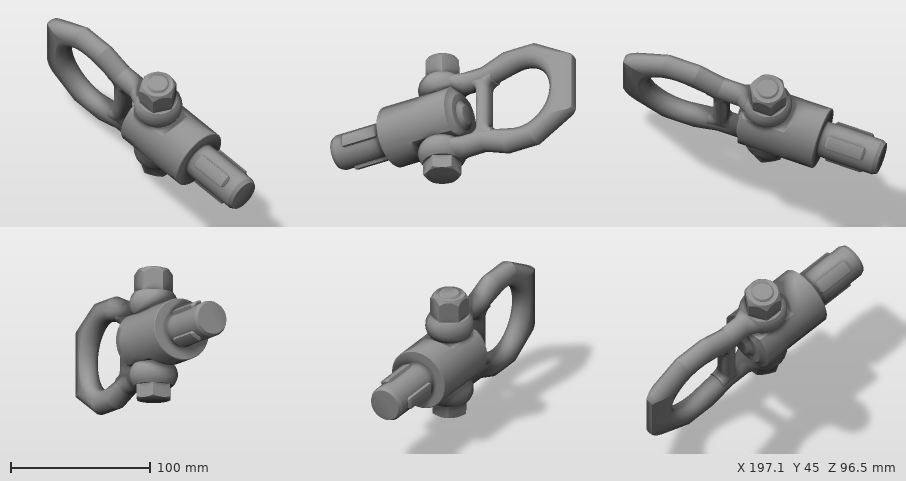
import cadquery as cq
import math


bar_size = 16.0
bow_edge_radius = 7.8
arm_inner_z = 18.0
arm_outer_z = arm_inner_z + bar_size
opening_radius = 24.6
opening_center_x = -66.5
opening_end_x = -36.0
crown_z = 41.0
crown_start_x = -79.0
crown_end_x = -53.5
arm_start_x = -35.0
nose_x = -110.0
nose_half_width = 3.0
nose_overhang = 1.3
nose_corner_radius = 9.0
shoulder_angle = math.radians(30)
taper_end_x = -92.0
arm_end_x = -5.0

crossbar_x = -35.3
crossbar_width = 10.0
crossbar_thickness = 14.0
crossbar_edge_radius = 4.6
crossbar_corner_radius = 4.0
crossbar_foot_z = arm_inner_z + 1.0
crossbar_half_length = 25.0

eye_radius = 17.5
eye_face_radius = 14.2
neck_start_x = -20.5
neck_end_x = -10.0
neck_end_half_width = 13.0
neck_half_height = 7.9

hub_radius = 22.5
hub_face_x = -18.0
hub_nose_end_x = -15.0
hub_nose_bulge = 0.4
hub_face_radius = 16.4
hub_end_x = 42.0
hub_rim_chamfer = 0.5
pilot_base_radius = 11.0
pilot_tip_radius = 7.0
pilot_height = 3.0
flat_end_x = 17.3
flat_ramp_length = 3.7
shaft_radius = 13.0
shaft_end_x = 87.05
shaft_chamfer_length = 3.0
shaft_chamfer_depth = 1.4
shaft_root_chamfer = 0.5
key_count = 3
key_start_x = 47.0
key_end_x = 76.5
key_width = 9.0
key_top_radius = 15.2
key_chamfer = 1.5

bolt_diameter = 16.0
bolt_radius = bolt_diameter / 2
bolt_tip_z = 52.3
bolt_tip_chamfer = 1.2
head_height = 10.2
hex_flats = 24.0
hex_corners = hex_flats / math.cos(math.pi / 6)
head_chamfer_angle = math.radians(30)
nut_height = 17.0
nut_face_radius = 11.1
nut_chamfer_drop = 4.0


def make_bow_plate():
    """Bow outline with its load opening, extruded across Y and rounded along both faces."""
    nose_tip_x = nose_x - nose_overhang
    shoulder_z = crown_z - (crown_start_x - nose_tip_x) * math.tan(shoulder_angle)
    half_outline = [
        (nose_tip_x, shoulder_z),
        (crown_start_x, crown_z),
        (crown_end_x, crown_z),
        (arm_start_x, arm_outer_z),
        (arm_end_x, arm_outer_z),
    ]
    reach_x = opening_end_x - opening_center_x
    reach = math.hypot(reach_x, arm_inner_z)
    tangent_angle = math.atan2(arm_inner_z, reach_x) + math.acos(opening_radius / reach)
    tangent_x = opening_center_x + opening_radius * math.cos(tangent_angle)
    tangent_z = opening_radius * math.sin(tangent_angle)

    plate = (
        cq.Workplane("XZ")
        .polyline(half_outline)
        .lineTo(arm_end_x, arm_inner_z)
        .lineTo(opening_end_x, arm_inner_z)
        .lineTo(tangent_x, tangent_z)
        .threePointArc((opening_center_x - opening_radius, 0), (tangent_x, -tangent_z))
        .lineTo(opening_end_x, -arm_inner_z)
        .lineTo(arm_end_x, -arm_inner_z)
        .polyline([(x, -z) for x, z in reversed(half_outline)], includeCurrent=True)
        .close()
        .extrude(bar_size / 2, both=True)
    )
    plate = plate.edges("|Y and <X").fillet(nose_corner_radius)
    arm_ends = cq.selectors.BoxSelector(
        (arm_end_x - 1, -bar_size, -crown_z), (arm_end_x + 1, bar_size, crown_z)
    )
    rims = plate.faces("<Y or >Y").edges(
        cq.selectors.SubtractSelector(cq.selectors.Selector(), arm_ends)
    )
    return rims.fillet(bow_edge_radius)


def make_nose_envelope():
    """Block whose sides curve in to a narrow flat nose, running straight beyond the taper."""
    return (
        cq.Workplane("XY")
        .moveTo(eye_radius, 0)
        .lineTo(eye_radius, bar_size / 2)
        .lineTo(taper_end_x, bar_size / 2)
        .tangentArcPoint((nose_x, nose_half_width), relative=False)
        .lineTo(nose_x, 0)
        .mirrorX()
        .extrude(2 * crown_z, both=True)
    )


def make_crossbar():
    """Rounded bar across the bow that flares into both arms."""
    half_width = crossbar_width / 2
    flare_width = half_width + crossbar_corner_radius
    flare_z = crossbar_foot_z - crossbar_corner_radius
    bend = crossbar_corner_radius * (1 - math.sqrt(0.5))
    bend_x = half_width + bend
    bend_z = crossbar_foot_z - bend
    bar = (
        cq.Workplane("XZ", origin=(crossbar_x, 0, 0))
        .moveTo(half_width, 0)
        .lineTo(half_width, flare_z)
        .threePointArc((bend_x, bend_z), (flare_width, crossbar_foot_z))
        .lineTo(flare_width, crossbar_half_length)
        .lineTo(-flare_width, crossbar_half_length)
        .lineTo(-flare_width, crossbar_foot_z)
        .threePointArc((-bend_x, bend_z), (-half_width, flare_z))
        .lineTo(-half_width, 0)
        .mirrorX()
        .extrude(crossbar_thickness / 2, both=True)
        .clean()
    )
    between_feet = cq.selectors.BoxSelector(
        (crossbar_x - crossbar_width, -bar_size, -crossbar_foot_z),
        (crossbar_x + crossbar_width, bar_size, crossbar_foot_z),
    )
    return bar.faces("<Y or >Y").edges(between_feet).fillet(crossbar_edge_radius)


def make_eye(side):
    """Barrel-shaped eye and its flared neck; side is +1 for the upper one, -1 for the lower."""
    inner_z = side * arm_inner_z
    outer_z = side * arm_outer_z
    middle_z = (inner_z + outer_z) / 2
    barrel = (
        cq.Workplane("XZ")
        .moveTo(0, inner_z)
        .lineTo(eye_face_radius, inner_z)
        .threePointArc((eye_radius, middle_z), (eye_face_radius, outer_z))
        .lineTo(0, outer_z)
        .close()
        .revolve(360, (0, 0, 0), (0, 1, 0))
    )
    neck = (
        cq.Workplane("YZ", origin=(neck_start_x, 0, middle_z))
        .circle(neck_half_height)
        .workplane(offset=neck_end_x - neck_start_x)
        .ellipse(neck_end_half_width, neck_half_height)
        .loft()
    )
    return barrel.union(neck)


def make_bow():
    bow = make_bow_plate().intersect(make_nose_envelope()).union(make_crossbar())
    for side in (1, -1):
        bow = bow.union(make_eye(side))
    bolt_hole = cq.Workplane("XY").circle(bolt_radius).extrude(2 * crown_z, both=True)
    return bow.cut(bolt_hole)


def make_keys():
    """Keys around the shaft, with domed tops and chamfered ends."""
    tops = (
        cq.Workplane("YZ", origin=(key_start_x, 0, 0))
        .circle(key_top_radius)
        .extrude(key_end_x - key_start_x)
        .faces("<X or >X")
        .chamfer(key_chamfer)
    )
    keys = []
    for index in range(key_count):
        blank = (
            cq.Workplane("XY")
            .box(key_end_x - key_start_x, key_top_radius, key_width)
            .edges("|Y")
            .chamfer(key_chamfer)
            .translate(((key_start_x + key_end_x) / 2, key_top_radius / 2, 0))
            .rotate((0, 0, 0), (1, 0, 0), index * 360 / key_count)
        )
        keys.append(blank.intersect(tops))
    return keys


def make_hub():
    """Turned hub and shaft, with clamp flats, keys and the cross hole for the bolt."""
    hub = (
        cq.Workplane("XY")
        .moveTo(hub_face_x - pilot_height, 0)
        .lineTo(hub_face_x - pilot_height, pilot_tip_radius)
        .lineTo(hub_face_x, pilot_base_radius)
        .lineTo(hub_face_x, hub_face_radius)
        .sagittaArc((hub_nose_end_x, hub_radius), -hub_nose_bulge)
        .polyline([
            (hub_end_x - hub_rim_chamfer, hub_radius),
            (hub_end_x, hub_radius - hub_rim_chamfer),
            (hub_end_x, shaft_radius + shaft_root_chamfer),
            (hub_end_x + shaft_root_chamfer, shaft_radius),
            (shaft_end_x - shaft_chamfer_length, shaft_radius),
            (shaft_end_x, shaft_radius - shaft_chamfer_depth),
            (shaft_end_x, 0),
        ], includeCurrent=True)
        .close()
        .revolve(360, (0, 0, 0), (1, 0, 0))
    )
    for key in make_keys():
        hub = hub.union(key)
    for side in (1, -1):
        flat = (
            cq.Workplane("XZ")
            .polyline([
                (hub_face_x, side * arm_inner_z),
                (flat_end_x, side * arm_inner_z),
                (flat_end_x + flat_ramp_length, side * hub_radius),
                (hub_face_x, side * hub_radius),
            ])
            .close()
            .extrude(hub_radius, both=True)
        )
        hub = hub.cut(flat)
    bolt_hole = cq.Workplane("XY").circle(bolt_radius).extrude(hub_radius, both=True)
    return hub.cut(bolt_hole)


def make_crown(face_z, seat_z, face_radius, drop):
    """Turned envelope of a hexagon: full corner radius, coned down to face_radius at face_z."""
    corner_radius = hex_corners / 2
    cone_end_z = face_z + math.copysign(drop, seat_z - face_z)
    return (
        cq.Workplane("XZ")
        .polyline([
            (0, face_z),
            (face_radius, face_z),
            (corner_radius, cone_end_z),
            (corner_radius, seat_z),
            (0, seat_z),
        ])
        .close()
        .revolve(360, (0, 0, 0), (0, 1, 0))
    )


def make_bolt():
    """Hexagon bolt; the head sits under the lower eye and the tip shows above the nut."""
    head_bottom_z = -arm_outer_z - head_height
    corner_radius = hex_corners / 2
    chamfer_drop = (corner_radius - hex_flats / 2) * math.tan(head_chamfer_angle)
    head = (
        cq.Workplane("XY", origin=(0, 0, head_bottom_z))
        .polygon(6, hex_corners)
        .extrude(head_height)
        .rotate((0, 0, 0), (0, 0, 1), 30)
    )
    head = head.intersect(make_crown(head_bottom_z, -arm_outer_z, hex_flats / 2, chamfer_drop))
    shank = (
        cq.Workplane("XY", origin=(0, 0, -arm_outer_z))
        .circle(bolt_radius)
        .extrude(arm_outer_z + bolt_tip_z)
        .faces(">Z")
        .chamfer(bolt_tip_chamfer)
    )
    return head.union(shank)


def make_nut():
    nut_top_z = arm_outer_z + nut_height
    nut = (
        cq.Workplane("XY", origin=(0, 0, arm_outer_z))
        .polygon(6, hex_corners)
        .circle(bolt_radius)
        .extrude(nut_height)
    )
    return nut.intersect(make_crown(nut_top_z, arm_outer_z, nut_face_radius, nut_chamfer_drop))


bow = make_bow()
hub = make_hub()
bolt = make_bolt()
nut = make_nut()

result = cq.Compound.makeCompound([bow.val(), hub.val(), bolt.val(), nut.val()])